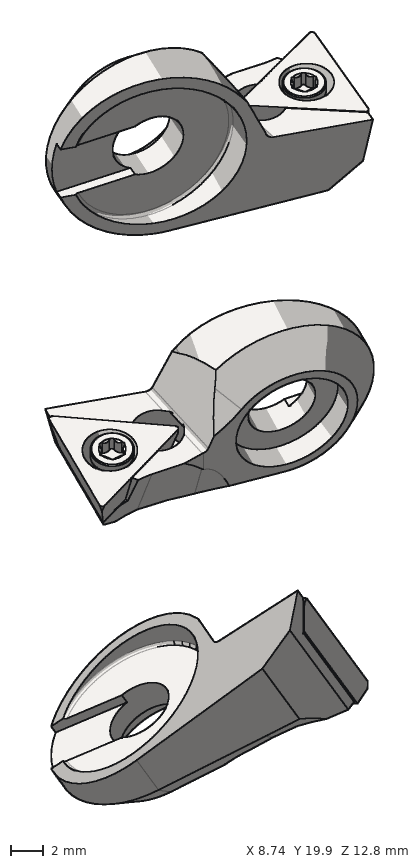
import cadquery as cq
import math


DISC_RADIUS = 6.39
DISC_BEVEL = 1.99
FACE_RADIUS = DISC_RADIUS - DISC_BEVEL
BORE_DIAMETER = 4.5
COUNTERBORE_DIAMETER = 7.5
COUNTERBORE_DEPTH = 1.53
RECESS_DIAMETER = 11.02
RECESS_FLOOR_X = 3.52
RECESS_FILLET = 0.2
SLOT_WIDTH = 3.98
SLOT_FLOOR_X = 2.87

TILT = 11.0
BACK_X = 4.62
FAR = 19.9

ARM_TOP_Z = -0.08
ARM_TIP = (13.37, ARM_TOP_Z)
TIP_RELIEF_END = (12.75, -3.36)
TIP_BOTTOM = (10.59, -5.31)
ARM_ROOT_TOP_Y = 7.96
ARM_LEFT = -1.99
ARM_RIGHT = 8.95
UNDERSIDE_ANGLE = 6.05

BEVEL_REACH = 5.97
BEVEL_TWIST_START = 7.56
BEVEL_TWIST_END = 13.13
BEVEL_END_SLOPE = 0.28

FLANK_X = -0.32
FLANK_START_Y = 5.97
FLANK_BEND_Y = 9.55
FLANK_END_Y = 13.53
FLANK_END_X = -1.75
FLANK_BLEND_RADIUS = 4.78
FLANK_BULGE = 0.35
BULGE_LOSS = 0.05
FLANK_RAKE = 0.08
START_LEAN = 0.2
BEND_LEAN = 0.3
END_LEAN = 0.32
FLANK_DEPTH = 7.96
CORNER_CUT_Y = 7.45

SHOULDER_Y = 5.71
SHOULDER_LEAN = 20.7
SHOULDER_FILLET = 0.44
SHOULDER_HEIGHT = 7.96
FLARE_ANGLE = 39.7
FLARE_RADIUS = 8.35

INSERT_X = 2.47
INSERT_FRONT_Y = 13.51
INSERT_INRADIUS = 2.39
INSERT_CORNER_ANGLES = (30, 150, 270)
INSERT_NOSE_RADIUS = 0.2
INSERT_THICKNESS = 2.35
INSERT_CLEARANCE = 11.0
INSERT_Y = INSERT_FRONT_Y - INSERT_INRADIUS
INSERT_HOLE_DIAMETER = 2.0
COUNTERSINK_DIAMETER = 3.38
COUNTERSINK_DEPTH = 1.2
POCKET_END_Y = 10.55
POCKET_END_TURN = 40.0
RELIEF_DIAMETER = 3.3
RELIEF_X = 2.8
RELIEF_Y = 7.78
RELIEF_POINT_DEPTH = 0.8

SCREW_Y = INSERT_Y - 0.15
HEAD_DIAMETER = 2.7
HEAD_TOP_DIAMETER = 2.55
HEAD_TOP_Z = 0.05
HEAD_CHAMFER = 0.08
HEAD_CYLINDER_END_Z = -0.6
HEAD_END_Z = -1.2
SHANK_DIAMETER = 1.6
SCREW_END_Z = -3.98
SOCKET_LOBES = 6
SOCKET_LOBE_RADIUS = 0.88
SOCKET_ROOT_RADIUS = 0.68
LOBE_HALF_WIDTH = 0.18
SOCKET_DEPTH = 1.0
SOCKET_TURN = 98.0
SOCKET_CHAMFER_RADIUS = 0.84
SOCKET_CHAMFER_DEPTH = 0.1


def x_cylinder(diameter, start, end):
    """Cylinder around the bore axis."""
    return cq.Workplane("YZ").workplane(offset=start).circle(diameter / 2).extrude(end - start)


def disc():
    """Disc blank with its conical left bevel."""
    return x_cylinder(2 * DISC_RADIUS, 0, ARM_RIGHT).faces("<X").chamfer(DISC_BEVEL)


def arm():
    """Arm blank, with the lower bevel of the disc carried along its underside."""
    angle = math.radians(UNDERSIDE_ANGLE)
    tangent_point = (DISC_RADIUS * math.sin(angle), -DISC_RADIUS * math.cos(angle))
    outline = [(0, 0), tangent_point, TIP_BOTTOM, TIP_RELIEF_END, ARM_TIP]
    blank = cq.Workplane("YZ").workplane(offset=ARM_LEFT).polyline(outline).close()
    blank = blank.extrude(ARM_RIGHT - ARM_LEFT)

    section = cq.Plane(origin=(0, 0, 0), xDir=(1, 0, 0), normal=(0, math.cos(angle), math.sin(angle)))

    def bevel_wire(distance, slope):
        """Space outside the bevel, in the section at a distance along the underside."""
        low = DISC_RADIUS - slope * BEVEL_REACH
        high = DISC_RADIUS + slope * BEVEL_REACH
        left = DISC_BEVEL - BEVEL_REACH
        right = DISC_BEVEL + BEVEL_REACH
        outline = [(left, low), (right, high), (left, high)]
        return cq.Workplane(section).workplane(offset=distance).polyline(outline).close().val()

    plain = bevel_wire(BEVEL_TWIST_START, 1.0)
    straight_bevel = cq.Solid.makeLoft([bevel_wire(0, 1.0), plain], True)
    twisted_bevel = cq.Solid.makeLoft([plain, bevel_wire(BEVEL_TWIST_END, BEVEL_END_SLOPE)], True)
    disc_side = cq.Workplane("XY").box(-ARM_LEFT, FAR, FAR).translate(
        (ARM_LEFT / 2, FLANK_START_Y - FAR / 2, 0)
    )
    return blank.cut(cq.Workplane(straight_bevel)).cut(cq.Workplane(twisted_bevel)).cut(disc_side)


def flare():
    """Block joining disc and shoulder, hollowed by a cone tangent to the disc bevel."""
    angle = math.radians(FLARE_ANGLE)

    def polar(radius):
        return (radius * math.cos(angle), radius * math.sin(angle))

    outline = [
        (0, ARM_TOP_Z),
        polar(FACE_RADIUS),
        polar(DISC_RADIUS),
        (ARM_ROOT_TOP_Y, 0),
        (ARM_ROOT_TOP_Y, ARM_TOP_Z),
    ]
    block = cq.Workplane("YZ").polyline(outline).close().extrude(ARM_RIGHT)
    centre_y, centre_z = polar(FACE_RADIUS + FLARE_RADIUS)
    hollow = cq.Solid.makeCone(
        FLARE_RADIUS, 0, FLARE_RADIUS, pnt=cq.Vector(0, centre_y, centre_z), dir=cq.Vector(1, 0, 0)
    )
    return block.cut(cq.Workplane(hollow))


def shoulder_cut():
    """Space above the arm, in front of the leaning, filleted shoulder wall."""
    tilt = math.radians(TILT)
    lean = math.radians(SHOULDER_LEAN)
    half_turn = (math.pi / 2 - lean) / 2
    tangent_length = SHOULDER_FILLET * math.tan(half_turn)
    rise = (-math.sin(lean), math.cos(lean))
    plane = cq.Plane(
        origin=(0, SHOULDER_Y, ARM_TOP_Z),
        xDir=(-math.sin(tilt), math.cos(tilt), 0),
        normal=(math.cos(tilt), math.sin(tilt), 0),
    )
    middle = (
        tangent_length - SHOULDER_FILLET * math.sin(half_turn),
        SHOULDER_FILLET * (1 - math.cos(half_turn)),
    )
    return (
        cq.Workplane(plane)
        .moveTo(FAR, 0)
        .lineTo(tangent_length, 0)
        .threePointArc(middle, (tangent_length * rise[0], tangent_length * rise[1]))
        .lineTo(-SHOULDER_HEIGHT * math.tan(lean), SHOULDER_HEIGHT)
        .lineTo(FAR, SHOULDER_HEIGHT)
        .close()
        .extrude(FAR, both=True)
    )


def flank_wire(depth):
    """Section of the space left of the arm, at a depth below Z = 0."""
    start_x = FLANK_X + START_LEAN * depth
    bend_x = FLANK_X + BEND_LEAN * depth
    end_x = FLANK_END_X + END_LEAN * depth
    start_y = FLANK_START_Y + FLANK_RAKE * depth
    bend_y = FLANK_BEND_Y + FLANK_RAKE * depth
    middle_y = (bend_y + FLANK_END_Y) / 2
    middle_x = (bend_x + end_x) / 2 + FLANK_BULGE - BULGE_LOSS * depth
    diagonal = FLANK_BLEND_RADIUS * math.sqrt(0.5)
    blend_x = start_x - FLANK_BLEND_RADIUS
    return (
        cq.Workplane("XY")
        .workplane(offset=-depth)
        .moveTo(start_x, start_y)
        .lineTo(bend_x, bend_y)
        .threePointArc((middle_x, middle_y), (end_x, FLANK_END_Y))
        .lineTo(-FAR, FLANK_END_Y)
        .lineTo(-FAR, start_y - FLANK_BLEND_RADIUS)
        .lineTo(blend_x, start_y - FLANK_BLEND_RADIUS)
        .threePointArc((blend_x + diagonal, start_y - diagonal), (start_x, start_y))
        .close()
        .val()
    )


def flank_cut():
    """Leaning left flank of the arm and its blend into the disc."""
    return cq.Workplane(cq.Solid.makeLoft([flank_wire(0), flank_wire(FLANK_DEPTH)], True))


def corner_cut():
    """Upright facet between the flank and the left face of the disc."""
    outline = [
        (0, FLANK_START_Y),
        (FLANK_X, CORNER_CUT_Y),
        (ARM_LEFT, CORNER_CUT_Y),
        (ARM_LEFT, FLANK_START_Y),
    ]
    return cq.Workplane("XY").polyline(outline).close().extrude(-FLANK_DEPTH)


def back_cut():
    """Everything behind the tilted back plane."""
    half_space = cq.Workplane("XY").box(FAR, 3 * FAR, 2 * FAR).translate((FAR / 2, 0, 0))
    return half_space.rotate((0, 0, 0), (0, 0, 1), -TILT).translate((BACK_X, 0, 0))


def bore_cuts():
    """Bore, counterbore, back recess and the slot through the recess wall."""
    bore = x_cylinder(BORE_DIAMETER, 0, FAR)
    counterbore = x_cylinder(COUNTERBORE_DIAMETER, 0, COUNTERBORE_DEPTH)
    recess = x_cylinder(RECESS_DIAMETER, RECESS_FLOOR_X, FAR).faces("<X").edges().fillet(RECESS_FILLET)
    slot = cq.Workplane("XY").box(FAR, FAR, SLOT_WIDTH).translate((SLOT_FLOOR_X + FAR / 2, -FAR / 2, 0))
    return [bore, counterbore, recess, slot]


def insert_blank():
    """Triangle with rounded noses and sides drawn in below its top face."""
    circumradius = 2 * INSERT_INRADIUS
    corners = [
        (circumradius * math.cos(math.radians(a)), circumradius * math.sin(math.radians(a)))
        for a in INSERT_CORNER_ANGLES
    ]
    tapered = cq.Workplane("XY").polyline(corners).close().extrude(-INSERT_THICKNESS, taper=INSERT_CLEARANCE)
    rounded = cq.Workplane("XY").polyline(corners).close().extrude(-INSERT_THICKNESS)
    rounded = rounded.edges("|Z").fillet(INSERT_NOSE_RADIUS)
    return tapered.intersect(rounded).translate((INSERT_X, INSERT_Y, 0))


def seat_cuts():
    """Open corner beside the insert and the drilled relief under its inner nose."""
    corner = cq.Workplane("XY").box(FAR, FAR, INSERT_THICKNESS)
    corner = corner.translate((INSERT_X - FAR / 2, FAR / 2, -INSERT_THICKNESS / 2))
    corner = corner.rotate((0, 0, 0), (0, 0, 1), POCKET_END_TURN).translate((FLANK_X, POCKET_END_Y, 0))
    radius = RELIEF_DIAMETER / 2
    relief = (
        cq.Workplane("XZ")
        .polyline([
            (0, 0),
            (radius, 0),
            (radius, -INSERT_THICKNESS),
            (0, -INSERT_THICKNESS - RELIEF_POINT_DEPTH),
        ])
        .close()
        .revolve(360, (0, 0), (0, 1))
        .translate((RELIEF_X, RELIEF_Y, 0))
    )
    return [corner, relief]


def screw_envelope():
    """Screw without its socket."""
    profile = [
        (0, HEAD_TOP_Z),
        (HEAD_TOP_DIAMETER / 2, HEAD_TOP_Z),
        (HEAD_DIAMETER / 2, HEAD_TOP_Z - HEAD_CHAMFER),
        (HEAD_DIAMETER / 2, HEAD_CYLINDER_END_Z),
        (SHANK_DIAMETER / 2, HEAD_END_Z),
        (SHANK_DIAMETER / 2, SCREW_END_Z),
        (0, SCREW_END_Z),
    ]
    body = cq.Workplane("XZ").polyline(profile).close().revolve(360, (0, 0), (0, 1))
    return body.translate((INSERT_X, SCREW_Y, 0))


def make_holder():
    """Disc and arm in one piece."""
    holder = disc().union(arm()).union(flare())
    cutters = [shoulder_cut(), flank_cut(), corner_cut(), back_cut()]
    cutters += bore_cuts() + seat_cuts() + [insert_blank(), screw_envelope()]
    for cutter in cutters:
        holder = holder.cut(cutter)
    return holder


def make_insert():
    """Insert with a countersunk hole that fits the screw head."""
    sink = cq.Solid.makeCone(
        COUNTERSINK_DIAMETER / 2,
        INSERT_HOLE_DIAMETER / 2,
        COUNTERSINK_DEPTH,
        pnt=cq.Vector(INSERT_X, INSERT_Y, 0),
        dir=cq.Vector(0, 0, -1),
    )
    hole = cq.Workplane("XY").center(INSERT_X, INSERT_Y).circle(INSERT_HOLE_DIAMETER / 2)
    hole = hole.extrude(-INSERT_THICKNESS)
    return insert_blank().cut(cq.Workplane(sink)).cut(hole).cut(screw_envelope())


def make_screw():
    """Screw with a six-lobed socket and a chamfered socket mouth."""
    def at(radius, step):
        angle = math.radians(SOCKET_TURN + 360 / SOCKET_LOBES * step)
        return (radius * math.cos(angle), radius * math.sin(angle))

    shoulder_radius = (SOCKET_LOBE_RADIUS + SOCKET_ROOT_RADIUS) / 2
    socket = cq.Workplane("XY").workplane(offset=HEAD_TOP_Z).moveTo(*at(shoulder_radius, -LOBE_HALF_WIDTH))
    for lobe in range(SOCKET_LOBES):
        socket = socket.threePointArc(at(SOCKET_LOBE_RADIUS, lobe), at(shoulder_radius, lobe + LOBE_HALF_WIDTH))
        socket = socket.threePointArc(
            at(SOCKET_ROOT_RADIUS, lobe + 0.5), at(shoulder_radius, lobe + 1 - LOBE_HALF_WIDTH)
        )
    socket = socket.close().extrude(-SOCKET_DEPTH)
    mouth = cq.Solid.makeCone(
        SOCKET_CHAMFER_RADIUS,
        SOCKET_ROOT_RADIUS,
        SOCKET_CHAMFER_DEPTH,
        pnt=cq.Vector(0, 0, HEAD_TOP_Z),
        dir=cq.Vector(0, 0, -1),
    )
    socket = socket.union(cq.Workplane(mouth)).translate((INSERT_X, SCREW_Y, 0))
    return screw_envelope().cut(socket)


holder = make_holder()
insert = make_insert()
screw = make_screw()

result = cq.Compound.makeCompound([holder.solids().val(), insert.solids().val(), screw.solids().val()])